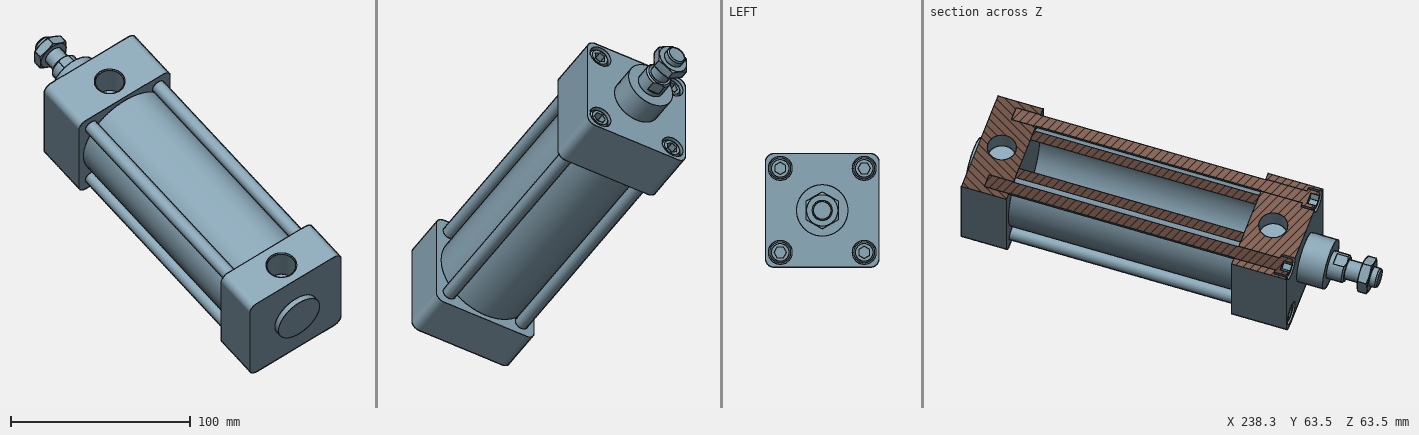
import cadquery as cq
import math

rod_shoulder_x = 18.8
boss_x = 28.5
front_cap_x = 43.8
tube_x = 76.3
rear_cap_x = 208.3
rear_face_x = 235.0
overall_length = 238.3

cap_width = 63.5
cap_corner_radius = 5.0
boss_diameter = 28.5
port_diameter = 16.0
port_mouth_diameter = 17.2
port_mouth_angle = 45
port_depth = 19.0
front_port_x = 62.5
rear_port_x = 221.9

tube_diameter = 57.2
tube_bore = 50.8

rod_diameter = 16.0
rod_thread_diameter = 11.2
rod_tip_diameter = 9.8
tip_chamfer_length = 1.0
shoulder_chamfer = 1.0
flats_width = 14.3
flats_end_x = 26.0

nut_x = 4.3
nut_thickness = 6.0
nut_across_flats = 17.9
nut_face_diameter = 17.5
nut_chamfer_angle = math.radians(20)

tie_rod_diameter = 7.9
tie_rod_offset = 23.4
tie_rod_insertion = 14.3
head_diameter = 11.7
head_face_diameter = 9.8
head_length = 7.1
head_recess_diameter = 13.3
head_setback = 0.7
socket_across_corners = 7.0
socket_depth = 4.8

hex_sides = 6
quarter_turn = 90

head_face_x = front_cap_x + head_setback
head_seat_x = head_face_x + head_length
tie_rod_end_x = rear_cap_x + tie_rod_insertion
tie_rod_centers = [(y * tie_rod_offset, z * tie_rod_offset) for y in (-1, 1) for z in (-1, 1)]


def cylinder(start_x, end_x, diameter, center=(0, 0)):
    """Solid cylinder along X between two stations."""
    plane = cq.Workplane("YZ", origin=(start_x, 0, 0))
    return plane.center(*center).circle(diameter / 2).extrude(end_x - start_x)


def cap_block(start_x, end_x):
    """Square block with its four long edges rounded."""
    block = cq.Workplane("YZ", origin=(start_x, 0, 0)).rect(cap_width, cap_width).extrude(end_x - start_x)
    return block.edges("|X").fillet(cap_corner_radius)


def port(center_x):
    """Cutter for a blind port in the top face, with a chamfered mouth."""
    mouth_chamfer = (port_mouth_diameter - port_diameter) / 2
    top = cq.Workplane("XY", origin=(center_x, 0, cap_width / 2))
    hole = top.circle(port_diameter / 2).extrude(-port_depth)
    mouth = top.circle(port_mouth_diameter / 2).extrude(-mouth_chamfer, taper=port_mouth_angle)
    return hole.union(mouth)


def make_front_cap():
    cap = cap_block(front_cap_x, tube_x)
    cap = cap.union(cylinder(boss_x, front_cap_x, boss_diameter))
    cap = cap.cut(cylinder(boss_x, tube_x, rod_diameter))
    cap = cap.cut(port(front_port_x))
    for center in tie_rod_centers:
        cap = cap.cut(cylinder(front_cap_x, head_seat_x, head_recess_diameter, center))
        cap = cap.cut(cylinder(head_seat_x, tube_x, tie_rod_diameter, center))
    return cap


def make_rear_cap():
    cap = cap_block(rear_cap_x, rear_face_x)
    cap = cap.union(cylinder(rear_face_x, overall_length, boss_diameter))
    cap = cap.cut(port(rear_port_x))
    for center in tie_rod_centers:
        cap = cap.cut(cylinder(rear_cap_x, tie_rod_end_x, tie_rod_diameter, center))
    return cap


def make_tube():
    return cylinder(tube_x, rear_cap_x, tube_diameter).cut(cylinder(tube_x, rear_cap_x, tube_bore))


def make_piston_rod():
    tip_chamfer = (rod_thread_diameter - rod_tip_diameter) / 2
    thread = cylinder(0, rod_shoulder_x, rod_thread_diameter)
    thread = thread.faces("<X").chamfer(tip_chamfer_length, tip_chamfer)
    body = cylinder(rod_shoulder_x, tube_x, rod_diameter).faces("<X").chamfer(shoulder_chamfer)
    flats_length = flats_end_x - rod_shoulder_x
    for side in (-1, 1):
        flat = cq.Workplane("XY").box(flats_length, rod_diameter, rod_diameter, centered=(False, True, True))
        body = body.cut(flat.translate((rod_shoulder_x, 0, side * (flats_width + rod_diameter) / 2)))
    return thread.union(body)


def make_nut():
    """Hex nut with corners up and down, its corners bevelled on both faces."""
    across_corners = nut_across_flats / math.cos(math.pi / hex_sides)
    nut_plane = cq.Workplane("YZ", origin=(nut_x, 0, 0))
    hexagon = nut_plane.polygon(hex_sides, across_corners).extrude(nut_thickness)
    hexagon = hexagon.rotate((0, 0, 0), (1, 0, 0), quarter_turn)
    bevel_width = (across_corners - nut_face_diameter) / 2
    bevel_height = bevel_width * math.tan(nut_chamfer_angle)
    bevelled_disc = cylinder(nut_x, nut_x + nut_thickness, across_corners)
    bevelled_disc = bevelled_disc.faces("<X or >X").chamfer(bevel_height, bevel_width)
    return hexagon.intersect(bevelled_disc).cut(cylinder(nut_x, nut_x + nut_thickness, rod_thread_diameter))


def make_tie_rod(center):
    """Tie rod with a chamfered head and a hexagon socket; sockets alternate a quarter turn."""
    head_chamfer = (head_diameter - head_face_diameter) / 2
    head = cylinder(head_face_x, head_seat_x, head_diameter, center).faces("<X").chamfer(head_chamfer)
    shank = cylinder(head_seat_x, tie_rod_end_x, tie_rod_diameter, center)
    head_plane = cq.Workplane("YZ", origin=(head_face_x, 0, 0)).center(*center)
    socket = head_plane.polygon(hex_sides, socket_across_corners).extrude(socket_depth)
    if center[0] * center[1] > 0:
        axis_start = (0, *center)
        axis_end = (1, *center)
        socket = socket.rotate(axis_start, axis_end, quarter_turn)
    return head.union(shank).cut(socket)


front_cap = make_front_cap()
rear_cap = make_rear_cap()
tube = make_tube()
piston_rod = make_piston_rod()
nut = make_nut()
tie_rods = [make_tie_rod(center) for center in tie_rod_centers]

result = cq.Compound.makeCompound([
    front_cap.val(),
    rear_cap.val(),
    tube.val(),
    piston_rod.val(),
    nut.val(),
    *[tie_rod.val() for tie_rod in tie_rods],
])